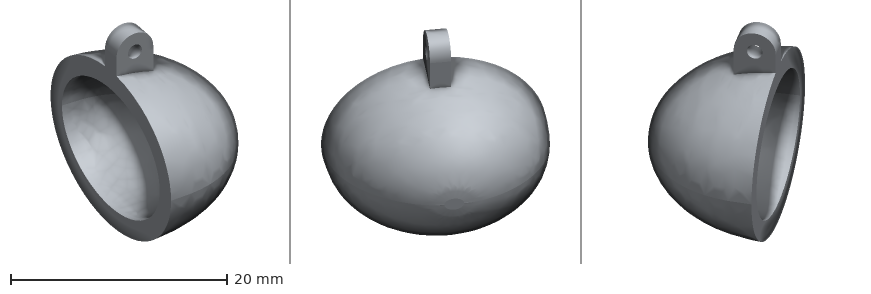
import cadquery as cq
import math

rim_half_width = 10.55
rim_half_height = 8.5
dome_depth = 12.0
wall = 2.0

tip_half_width = 0.93
tip_half_height = 0.6

depth_controls = [0.0, 3.4, 7.8, dome_depth, dome_depth]
width_controls = [rim_half_width, rim_half_width, 10.7, 5.0, tip_half_width]
height_controls = [rim_half_height, 8.18, 7.03, 4.0, tip_half_height]
section_count = 7

lug_thickness = 2.0
lug_width = 4.0
lug_radius = lug_width / 2
lug_hole_diameter = 1.5
lug_hole_rise = 2.0
lug_hole_z = rim_half_height + lug_hole_rise
lug_root_depth = 1.5
lug_root_z = rim_half_height - lug_root_depth


def bezier(controls, t):
    """Value of a one-dimensional Bezier curve at parameter t."""
    degree = len(controls) - 1
    return sum(
        math.comb(degree, i) * (1 - t) ** (degree - i) * t**i * value
        for i, value in enumerate(controls)
    )


def elliptical_section(t):
    """Elliptical cross-section of the dome, parallel to the rim, as an upper and a lower half."""
    half_turn = 180
    halves = [
        cq.Edge.makeEllipse(
            bezier(width_controls, t),
            bezier(height_controls, t),
            cq.Vector(0, bezier(depth_controls, t), 0),
            cq.Vector(0, 1, 0),
            cq.Vector(1, 0, 0),
            start_angle,
            start_angle + half_turn,
        )
        for start_angle in (0, half_turn)
    ]
    return cq.Wire.assembleEdges(halves)


def make_dome():
    """Smooth loft through the sections, hollowed from the rim face."""
    sections = [elliptical_section(i / (section_count - 1)) for i in range(section_count)]
    solid_dome = cq.Workplane(cq.Solid.makeLoft(sections))
    return solid_dome.faces("<Y").shell(-wall)


def make_lug():
    """Round-topped tab with a cross hole, flush with the rim face."""
    return (
        cq.Workplane("YZ", origin=(-lug_thickness / 2, 0, 0))
        .moveTo(0, lug_root_z)
        .lineTo(lug_width, lug_root_z)
        .lineTo(lug_width, lug_hole_z)
        .tangentArcPoint((-lug_radius, lug_radius))
        .tangentArcPoint((-lug_radius, -lug_radius))
        .close()
        .moveTo(lug_radius, lug_hole_z)
        .circle(lug_hole_diameter / 2)
        .extrude(lug_thickness)
    )


result = make_dome().union(make_lug())